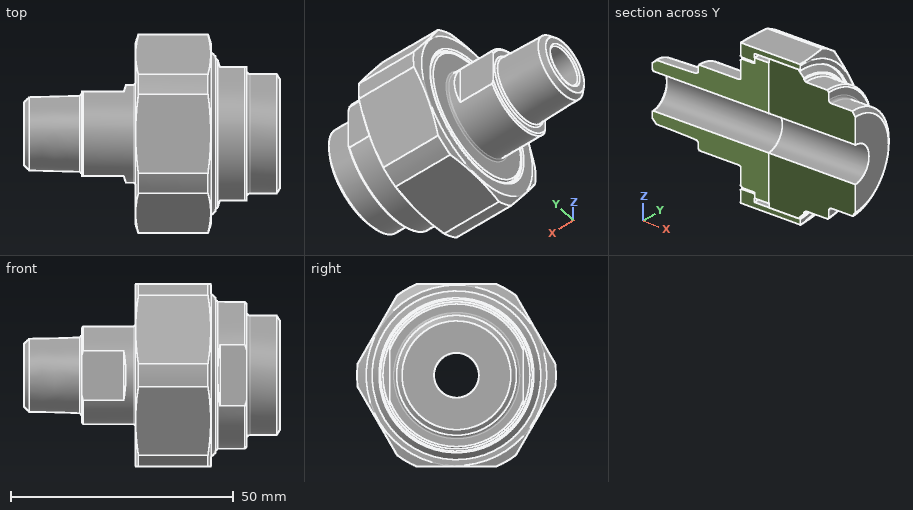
import cadquery as cq
import math


tail_shoulder_x = 13.0
tail_flat_end_x = 22.4
nut_x = 25.0
nut_length = 17.0
nut_end_x = nut_x + nut_length
collar_length = 4.0
collar_end_x = nut_x + collar_length
flange_length = 4.0
joint_x = collar_end_x + flange_length
body_thread_end_x = 43.0
body_flat_x = 44.0
body_shoulder_x = 50.0
total_length = 57.5

bore_d = 10.0
bore_chamfer = 0.4

tip_d = 14.1
tip_chamfer_length = 1.25
thread_small_d = 16.5
thread_large_d = 17.1
thread_root_flare = 0.45
tail_d = 22.0
tail_edge_axial = 0.3
tail_edge_radial = 0.5
tail_flat_width = 19.0
tail_root_fillet = 0.45
neck_d = 33.0
neck_chamfer = 0.5
flange_d = 36.0

hex_width = 41.0
hex_corner_d = 44.68
hex_face_d = 40.5
hex_chamfer_length = 0.7
collar_bore_d = 33.5
collar_bore_chamfer = 0.35
nut_thread_d = 37.85

body_thread_chamfer = 1.55
body_d = 33.0
body_root_flare = 0.5
body_edge_axial = 0.4
body_edge_radial = 0.5
body_flat_width = 30.0
end_d = 26.9
end_root_fillet = 0.7
end_chamfer_axial = 0.8
end_chamfer_radial = 1.25

flat_runout_slope = 1 / 3
cutter_margin = 1.0


def revolve_about_x(profile):
    return profile.close().revolve(360, (0, 0, 0), (1, 0, 0))


def flat_cutters(open_x, flat_end_x, width, round_d):
    """Two cutters leaving parallel flats across Y from open_x to flat_end_x, where a slope runs out."""
    flat_y = width / 2
    outer_y = round_d / 2 + cutter_margin
    direction = math.copysign(1, flat_end_x - open_x)
    runout_x = flat_end_x + direction * (outer_y - flat_y) * flat_runout_slope
    cutter = (
        cq.Workplane("XY")
        .moveTo(open_x, flat_y)
        .lineTo(flat_end_x, flat_y)
        .lineTo(runout_x, outer_y)
        .lineTo(open_x, outer_y)
        .close()
        .extrude(round_d / 2, both=True)
    )
    return cutter.union(cutter.mirror("XZ"))


def make_tail():
    thread_end_x = tail_shoulder_x - thread_root_flare
    root_arc_middle = tail_root_fillet * math.sqrt(0.5)
    root_x = nut_x - tail_root_fillet
    root_r = tail_d / 2 + tail_root_fillet
    profile = (
        cq.Workplane("XY")
        .moveTo(0, bore_d / 2 + bore_chamfer)
        .lineTo(0, tip_d / 2)
        .lineTo(tip_chamfer_length, thread_small_d / 2)
        .lineTo(thread_end_x, thread_large_d / 2)
        .lineTo(tail_shoulder_x, thread_large_d / 2 + thread_root_flare)
        .lineTo(tail_shoulder_x, tail_d / 2 - tail_edge_radial)
        .lineTo(tail_shoulder_x + tail_edge_axial, tail_d / 2)
        .lineTo(root_x, tail_d / 2)
        .threePointArc((root_x + root_arc_middle, root_r - root_arc_middle), (nut_x, root_r))
        .lineTo(nut_x, neck_d / 2 - neck_chamfer)
        .lineTo(nut_x + neck_chamfer, neck_d / 2)
        .lineTo(collar_end_x, neck_d / 2)
        .lineTo(collar_end_x, flange_d / 2)
        .lineTo(joint_x, flange_d / 2)
        .lineTo(joint_x, bore_d / 2)
        .lineTo(bore_chamfer, bore_d / 2)
    )
    flats = flat_cutters(tail_shoulder_x, tail_flat_end_x, tail_flat_width, tail_d)
    return revolve_about_x(profile).cut(flats)


def make_nut():
    across_corners = hex_width / math.cos(math.pi / 6)
    hexagon = (
        cq.Workplane("YZ", origin=(nut_x, 0, 0))
        .polygon(6, across_corners)
        .extrude(nut_length)
    )
    turned_envelope = revolve_about_x(
        cq.Workplane("XY")
        .moveTo(nut_x, 0)
        .lineTo(nut_x, hex_face_d / 2)
        .lineTo(nut_x + hex_chamfer_length, hex_corner_d / 2)
        .lineTo(nut_end_x - hex_chamfer_length, hex_corner_d / 2)
        .lineTo(nut_end_x, hex_face_d / 2)
        .lineTo(nut_end_x, 0)
    )
    opening = revolve_about_x(
        cq.Workplane("XY")
        .moveTo(nut_x, 0)
        .lineTo(nut_x, collar_bore_d / 2 + collar_bore_chamfer)
        .lineTo(nut_x + collar_bore_chamfer, collar_bore_d / 2)
        .lineTo(collar_end_x, collar_bore_d / 2)
        .lineTo(collar_end_x, nut_thread_d / 2)
        .lineTo(nut_end_x, nut_thread_d / 2)
        .lineTo(nut_end_x, 0)
    )
    return hexagon.intersect(turned_envelope).cut(opening)


def make_body():
    thread_r = nut_thread_d / 2
    fillet_middle = end_root_fillet * math.sqrt(0.5)
    fillet_x = body_shoulder_x + end_root_fillet
    fillet_r = end_d / 2 + end_root_fillet
    profile = (
        cq.Workplane("XY")
        .moveTo(joint_x, bore_d / 2)
        .lineTo(joint_x, thread_r)
        .lineTo(body_thread_end_x - body_thread_chamfer, thread_r)
        .lineTo(body_thread_end_x, thread_r - body_thread_chamfer)
        .lineTo(body_thread_end_x, body_d / 2 + body_root_flare)
        .lineTo(body_thread_end_x + body_root_flare, body_d / 2)
        .lineTo(body_shoulder_x - body_edge_axial, body_d / 2)
        .lineTo(body_shoulder_x, body_d / 2 - body_edge_radial)
        .lineTo(body_shoulder_x, fillet_r)
        .threePointArc((fillet_x - fillet_middle, fillet_r - fillet_middle), (fillet_x, end_d / 2))
        .lineTo(total_length - end_chamfer_axial, end_d / 2)
        .lineTo(total_length, end_d / 2 - end_chamfer_radial)
        .lineTo(total_length, bore_d / 2)
    )
    flats = flat_cutters(body_shoulder_x, body_flat_x, body_flat_width, body_d)
    return revolve_about_x(profile).cut(flats)


tail = make_tail()
nut = make_nut()
body = make_body()

result = cq.Compound.makeCompound([tail.val(), nut.val(), body.val()])